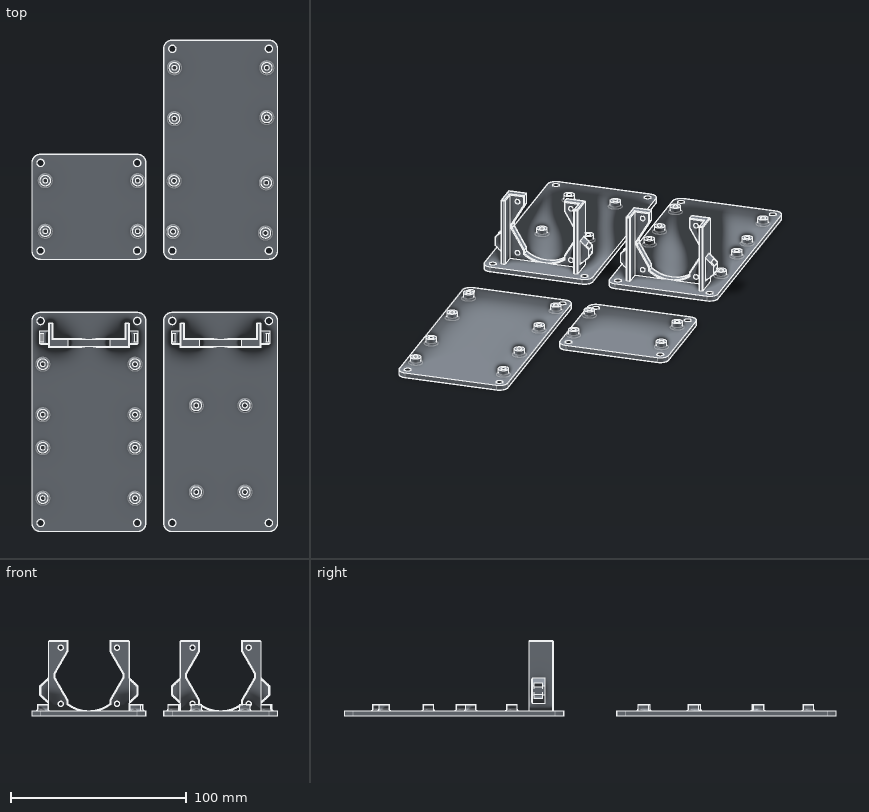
import cadquery as cq

plate_width = 65.0
plate_length = 125.0
short_plate_length = 60.0
plate_thickness = 3.0
corner_radius = 5.0
column_gap = 10.0
row_gap = 30.0
mount_hole_diameter = 4.0
mount_hole_inset = 5.0

standoff_diameter = 6.0
standoff_height = 3.5
standoff_foot_radius = 1.0
screw_hole_diameter = 2.8

fan_size = 40.0
fan_hole_spacing = 32.0
fan_hole_diameter = 2.8
holder_width = 46.0
holder_depth = 14.0
holder_back_inset = 6.0
side_wall = 2.5
front_wall = 5.0
holder_chamfer = 0.5
airflow_radius = fan_size / 2
airflow_slot_half_width = 12.0
airflow_waist_half_width = 19.4

ear_reach = 5.0
ear_width = 7.6
ear_front_offset = 1.6
ear_root_half_height = 7.3
ear_flat_half_height = 2.6
ear_chamfer = 0.6
ear_height_above_plate = 11.5
tie_slot_width = 5.0
tie_slot_inner_radius = 3.9
tie_slot_outer_radius = 6.8
tie_slot_center_reach = 8.2

fan_center_z = plate_thickness + fan_size / 2
holder_back = plate_length - holder_back_inset
holder_front = holder_back - holder_depth
plate_middle = plate_width / 2
column_pitch = plate_width + column_gap
upper_row_y = plate_length + row_gap


def make_plate(length):
    """Rounded plate with its lower left corner at the origin and a hole in each corner."""
    plate = (
        cq.Workplane("XY")
        .box(plate_width, length, plate_thickness, centered=False)
        .edges("|Z")
        .fillet(corner_radius)
    )
    far_x = plate_width - mount_hole_inset
    far_y = length - mount_hole_inset
    corners = [(x, y) for x in (mount_hole_inset, far_x) for y in (mount_hole_inset, far_y)]
    holes = (
        cq.Workplane("XY")
        .pushPoints(corners)
        .circle(mount_hole_diameter / 2)
        .extrude(plate_thickness)
    )
    return plate.cut(holes)


def make_standoff():
    """Standoff with a flared foot, revolved about Z; its screw hole stops at the plate."""
    bore = screw_hole_diameter / 2
    radius = standoff_diameter / 2
    foot = standoff_foot_radius
    return (
        cq.Workplane("XZ")
        .moveTo(bore, 0)
        .lineTo(radius + foot, 0)
        .radiusArc((radius, foot), foot)
        .lineTo(radius, standoff_height)
        .lineTo(bore, standoff_height)
        .close()
        .revolve(360, (0, 0, 0), (0, 1, 0))
    )


def add_standoffs(plate, places):
    for x, y in places:
        plate = plate.union(make_standoff().translate((x, y, plate_thickness)))
    return plate


def make_airflow_opening():
    """Cutter for the front wall: blunted hexagon, round lower part and a slot open at the top.

    The rim is bevelled on both faces of the wall.
    """
    neck = airflow_slot_half_width
    blunt = airflow_waist_half_width
    front = cq.Workplane("XZ", origin=(plate_middle, holder_front, fan_center_z))
    hexagon = front.polygon(6, 2 * airflow_radius).extrude(-front_wall)
    waist_band = front.rect(2 * blunt, fan_size).extrude(-front_wall)
    slot_band = front.rect(2 * neck, fan_size).extrude(-front_wall)
    round_part = front.circle(airflow_radius).extrude(-front_wall).intersect(slot_band)
    slot = (
        front.center(0, fan_size / 4)
        .rect(2 * neck, fan_size / 2)
        .extrude(-front_wall)
    )
    opening = hexagon.intersect(waist_band).union(round_part).union(slot)
    front_bevel = (
        opening.faces("<Y")
        .wires()
        .toPending()
        .offset2D(holder_chamfer, "intersection")
        .extrude(-holder_chamfer, taper=45)
    )
    back_bevel = front_bevel.mirror("XZ", (0, holder_front + front_wall / 2, 0))
    return opening.union(front_bevel).union(back_bevel)


def make_ear():
    """Right-hand ear, with X measured from the holder side and Z from the ear middle."""
    profile = [
        (0, -ear_root_half_height),
        (ear_reach, -ear_flat_half_height),
        (ear_reach, ear_flat_half_height),
        (0, ear_root_half_height),
    ]
    ear = cq.Workplane("XZ").polyline(profile).close().extrude(-ear_width)
    slot_start = (ear_width - tie_slot_width) / 2
    tie_slot = (
        cq.Workplane("XZ", origin=(tie_slot_center_reach, slot_start, 0))
        .circle(tie_slot_outer_radius)
        .circle(tie_slot_inner_radius)
        .extrude(-tie_slot_width)
    )
    ear = ear.faces("<Y").edges("not <X").chamfer(ear_chamfer)
    return ear.cut(tie_slot)


def add_fan_holder(plate):
    holder_left = plate_middle - holder_width / 2
    frame = cq.Workplane("XY").box(holder_width, holder_depth, fan_size, centered=False)
    fan_space = (
        cq.Workplane("XY")
        .box(holder_width - 2 * side_wall, holder_depth - front_wall, fan_size, centered=False)
        .translate((side_wall, front_wall, 0))
    )
    frame = frame.cut(fan_space).translate((holder_left, holder_front, plate_thickness))
    screw_holes = (
        cq.Workplane("XZ", origin=(plate_middle, holder_front, fan_center_z))
        .rect(fan_hole_spacing, fan_hole_spacing, forConstruction=True)
        .vertices()
        .circle(fan_hole_diameter / 2)
        .extrude(-front_wall)
    )
    frame = frame.faces(">Z or >Y").edges("not <Z").chamfer(holder_chamfer)
    frame = frame.cut(make_airflow_opening()).cut(screw_holes)
    right_ear = make_ear().translate((
        plate_middle + holder_width / 2,
        holder_front + ear_front_offset,
        plate_thickness + ear_height_above_plate,
    ))
    left_ear = right_ear.mirror("YZ", (plate_middle, 0, 0))
    return plate.union(frame).union(right_ear).union(left_ear)


double_board_places = [(x, y) for x in (6.25, 58.75) for y in (19.1, 47.85, 66.65, 95.4)]
small_board_places = [(x, y) for x in (18.65, 46.35) for y in (22.6, 71.9)]
single_board_places = [(x, y) for x in (7.65, 60.3) for y in (16.1, 44.9)]
skewed_board_places = [
    (5.4, 15.9), (6.0, 44.8), (6.2, 80.2), (6.2, 109.2),
    (58.05, 15.1), (58.5, 43.7), (58.8, 80.9), (58.8, 109.2),
]

double_board_plate = add_fan_holder(add_standoffs(make_plate(plate_length), double_board_places))

small_board_plate = add_fan_holder(add_standoffs(make_plate(plate_length), small_board_places))
small_board_plate = small_board_plate.translate((column_pitch, 0, 0))

single_board_plate = add_standoffs(make_plate(short_plate_length), single_board_places)
single_board_plate = single_board_plate.translate((0, upper_row_y, 0))

skewed_board_plate = add_standoffs(make_plate(plate_length), skewed_board_places)
skewed_board_plate = skewed_board_plate.translate((column_pitch, upper_row_y, 0))

result = cq.Compound.makeCompound([
    double_board_plate.val(),
    small_board_plate.val(),
    single_board_plate.val(),
    skewed_board_plate.val(),
])